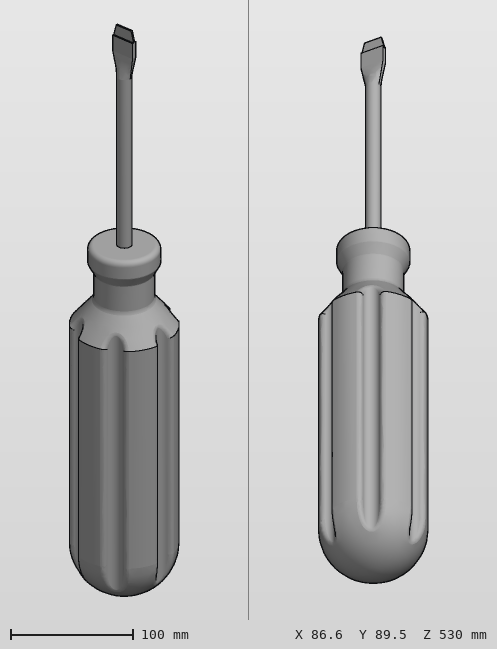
import cadquery as cq
import math

total_height = 530.0
shoulder_bottom = 250.0
shoulder_top = 274.5
collar_cone_bottom = 300.0
collar_cone_top = 309.5
collar_top = 325.5
shaft_top = 484.0
blade_flat_bottom = 505.0
blade_flat_top = 520.0

handle_diameter = 89.5
handle_radius = handle_diameter / 2
neck_radius = 50.0 / 2
collar_radius = 60.0 / 2
collar_rounding = 5.0
cone_rounding = 1.5
neck_rounding = 5.5

flute_count = 6
flute_radius = 7.5
flute_floor = 36.0
flute_lip_rounding = 4.0

shaft_radius = 12.5 / 2
blade_width = 21.0
blade_thickness = 4.0
tip_width = 16.0
tip_thickness = 1.5


def handle_body():
    """Revolved grip with a round end, a sloped shoulder and a slim neck."""
    dome_side = handle_radius * math.sqrt(0.5)
    profile = (
        cq.Workplane("XZ")
        .moveTo(0, 0)
        .threePointArc((dome_side, handle_radius - dome_side), (handle_radius, handle_radius))
        .lineTo(handle_radius, shoulder_bottom)
        .lineTo(neck_radius, shoulder_top)
        .lineTo(neck_radius, collar_cone_bottom)
        .lineTo(collar_radius, collar_cone_top)
        .lineTo(collar_radius, collar_top)
        .lineTo(0, collar_top)
        .close()
    )
    return profile.revolve(360, (0, 0, 0), (0, 1, 0))


def round_edge_at(body, height, radius):
    """Round the circular edge of the body that lies at one height."""
    margin = 0.05
    selector = cq.selectors.BoxSelector(
        (-handle_radius, -handle_radius, height - margin),
        (handle_radius, handle_radius, height + margin),
        boundingbox=True,
    )
    circle = body.edges(selector).edges("%CIRCLE")
    return circle.fillet(radius)


def flutes():
    """Upright round cutters spaced evenly around the grip."""
    return (
        cq.Workplane("XY")
        .polarArray(flute_floor + flute_radius, 0, 360, flute_count)
        .circle(flute_radius)
        .extrude(shoulder_top)
    )


def cut_flutes(body):
    """Cut the flutes and round the lip around each of their openings."""
    fluted = body.cut(flutes())
    between_floor_and_grip = (flute_floor + handle_radius) / 2
    lips = []
    for face in fluted.faces("%CYLINDER").vals():
        middle = face.Center()
        if flute_floor < math.hypot(middle.x, middle.y) < between_floor_and_grip:
            lips.extend(face.Edges())
    return fluted.newObject(lips).fillet(flute_lip_rounding)


def shaft():
    """Round shaft from the collar to the foot of the blade."""
    return (
        cq.Workplane("XY", origin=(0, 0, collar_top))
        .circle(shaft_radius)
        .extrude(shaft_top - collar_top)
    )


def blade():
    """Flat blade flaring from the shaft, with a thin trapezoid tip."""
    flare = (
        cq.Workplane("XY", origin=(0, 0, shaft_top))
        .circle(shaft_radius)
        .workplane(offset=blade_flat_bottom - shaft_top)
        .rect(blade_width, blade_thickness)
        .loft(combine=True)
    )
    flat = (
        cq.Workplane("XY", origin=(0, 0, blade_flat_bottom))
        .rect(blade_width, blade_thickness)
        .extrude(blade_flat_top - blade_flat_bottom)
    )
    tip = (
        cq.Workplane("XZ")
        .moveTo(-blade_width / 2, blade_flat_top)
        .lineTo(-tip_width / 2, total_height)
        .lineTo(tip_width / 2, total_height)
        .lineTo(blade_width / 2, blade_flat_top)
        .close()
        .extrude(tip_thickness / 2, both=True)
    )
    return flare.union(flat).union(tip)


handle = handle_body()
handle = round_edge_at(handle, shoulder_top, neck_rounding)
handle = round_edge_at(handle, collar_cone_bottom, cone_rounding)
handle = round_edge_at(handle, collar_cone_top, cone_rounding)
handle = round_edge_at(handle, collar_top, collar_rounding)
handle = cut_flutes(handle)
result = handle.union(shaft()).union(blade())